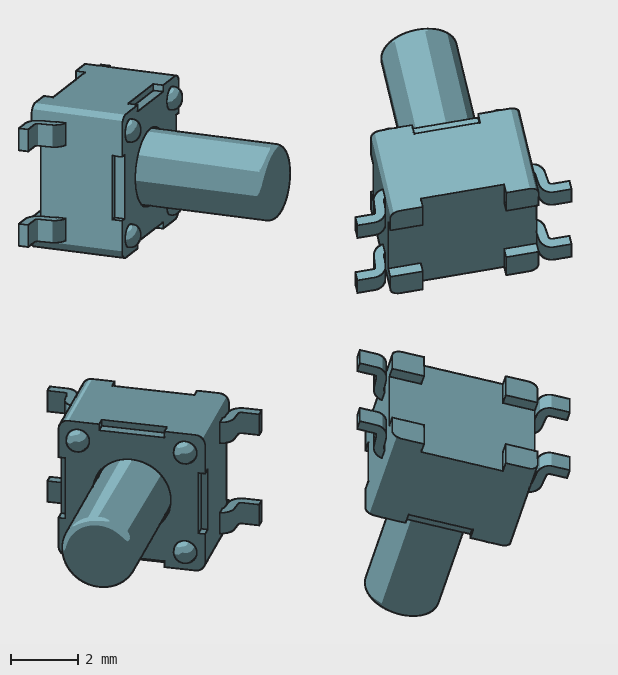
import cadquery as cq
import math


total_length = 7.0
pin_span = 6.5
housing_side = 4.5
half_side = housing_side / 2

foot_height = 0.3
foot_side = 0.99
corner_radius = 0.3
housing_top = 2.6

cover_top = 2.91
notch_length = 2.0
notch_depth = 0.2
plunger_hole_diameter = 2.4

plunger_diameter = 2.3
plunger_fillet = 0.2

rivet_diameter = 0.7
rivet_height = 0.3
rivet_fillet = 0.26
rivet_pitch = 3.3

pin_width = 0.69
pin_pitch = 2.995
pin_thickness = 0.3
bend_inner_radius = 0.1
bend_outer_radius = bend_inner_radius + pin_thickness
pin_foot_length = 0.525
pin_tilt = math.radians(5)
shoulder_bend_x = 0.715
pin_embed = 0.35


def square_block(x_start, x_end):
    """Housing-sized block along X with rounded long edges."""
    plane = cq.Workplane("YZ", origin=(x_start, 0, 0))
    block = plane.rect(housing_side, housing_side).extrude(x_end - x_start)
    return block.edges("|X").fillet(corner_radius)


def make_housing():
    """Block with the underside cut to a cross, which leaves the corner feet."""
    gap = housing_side - 2 * foot_side
    relief = (
        cq.Workplane("YZ")
        .rect(housing_side, gap)
        .extrude(foot_height)
        .union(cq.Workplane("YZ").rect(gap, housing_side).extrude(foot_height))
    )
    return square_block(0, housing_top).cut(relief)


def make_cover():
    """Plate with four side notches and the plunger hole."""
    thickness = cover_top - housing_top
    plane = cq.Workplane("YZ", origin=(housing_top, 0, 0))
    notch = plane.center(0, half_side).rect(notch_length, 2 * notch_depth).extrude(thickness)
    cover = square_block(housing_top, cover_top)
    for quarter_turn in range(4):
        cover = cover.cut(notch.rotate((0, 0, 0), (1, 0, 0), 90 * quarter_turn))
    return cover.cut(plane.circle(plunger_hole_diameter / 2).extrude(thickness))


def make_plunger():
    """Round plunger standing on the housing, with a rounded tip edge."""
    plane = cq.Workplane("YZ", origin=(housing_top, 0, 0))
    plunger = plane.circle(plunger_diameter / 2).extrude(total_length - housing_top)
    return plunger.faces(">X").edges().fillet(plunger_fillet)


def make_rivets():
    """Four short pegs with rounded tops."""
    rivets = (
        cq.Workplane("YZ", origin=(cover_top, 0, 0))
        .rect(rivet_pitch, rivet_pitch, forConstruction=True)
        .vertices()
        .circle(rivet_diameter / 2)
        .extrude(rivet_height)
    )
    return rivets.faces(">X").edges().fillet(rivet_fillet)


def polar(center, radius, angle):
    """Point at the given angle on a circle."""
    return (center[0] + radius * math.cos(angle), center[1] + radius * math.sin(angle))


def make_pin_pair():
    """The two pins on the +Y side."""
    tip_y = pin_span / 2
    root_y = half_side - pin_embed
    foot_bend = (bend_outer_radius, tip_y - pin_foot_length)
    bend_run = shoulder_bend_x - foot_bend[0]
    bend_offset = bend_inner_radius + bend_outer_radius
    bend_drop = (bend_offset + bend_run * math.sin(pin_tilt)) / math.cos(pin_tilt)
    shoulder_bend = (shoulder_bend_x, foot_bend[1] - bend_drop)

    foot_start = math.pi
    foot_end = 1.5 * math.pi - pin_tilt
    foot_middle = (foot_start + foot_end) / 2
    shoulder_start = math.pi / 2 - pin_tilt
    shoulder_end = 0
    shoulder_middle = (shoulder_start + shoulder_end) / 2
    inner = bend_inner_radius
    outer = bend_outer_radius

    profile = (
        cq.Workplane("XY")
        .moveTo(0, tip_y)
        .lineTo(*polar(foot_bend, outer, foot_start))
        .threePointArc(polar(foot_bend, outer, foot_middle), polar(foot_bend, outer, foot_end))
        .lineTo(*polar(shoulder_bend, inner, shoulder_start))
        .threePointArc(
            polar(shoulder_bend, inner, shoulder_middle),
            polar(shoulder_bend, inner, shoulder_end),
        )
        .lineTo(shoulder_bend_x + inner, root_y)
        .lineTo(shoulder_bend_x + outer, root_y)
        .lineTo(*polar(shoulder_bend, outer, shoulder_end))
        .threePointArc(
            polar(shoulder_bend, outer, shoulder_middle),
            polar(shoulder_bend, outer, shoulder_start),
        )
        .lineTo(*polar(foot_bend, inner, foot_end))
        .threePointArc(polar(foot_bend, inner, foot_middle), polar(foot_bend, inner, foot_start))
        .lineTo(pin_thickness, tip_y)
        .close()
    )
    pin = profile.extrude(pin_width / 2, both=True)
    return pin.translate((0, 0, pin_pitch / 2)).union(pin.translate((0, 0, -pin_pitch / 2)))


pins = make_pin_pair()
result = make_housing().union(make_cover()).union(make_plunger()).union(make_rivets())
result = result.union(pins).union(pins.mirror("XZ"))